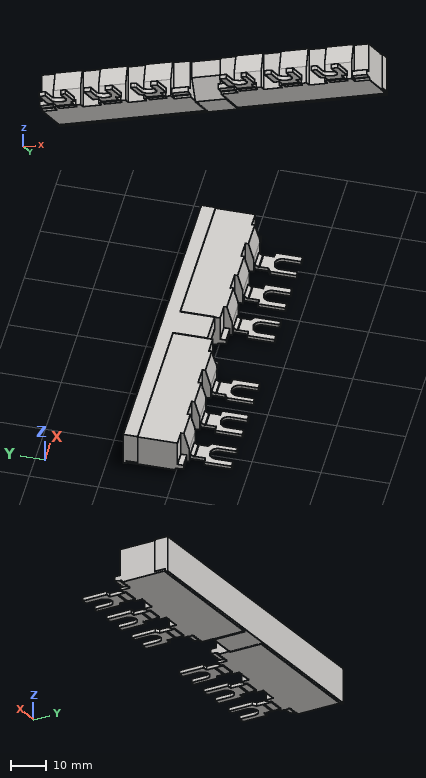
import cadquery as cq


length = 98.0
height = 11.0
bar_depth = 4.2
lip_depth = 0.85
lip_height = 0.9
bridge_depth = 14.2
bridge_bottom_depth = 11.0
bridge_break_height = 6.2

bridge_half_width = 4.55
end_inset = 0.1
cover_bottom = 0.28
cover_top = height - 0.2
cover_depth = 15.75
module_inner = bridge_half_width
module_outer = length / 2 - end_inset

terminal_pitch = 13.5
module_center = 27.0
boss_width = 8.1
boss_top_depth = 16.6
boss_depth = 18.1
boss_break_height = 5.2

flange_depth = 17.5
flange_top = 2.65
flange_front_bottom = 1.2
flange_root_bottom = 0.9
foot_depth = 15.3
foot_bottom_depth = 15.0

fork_top = 1.2
fork_end = 30.5
shoulder_depth = 22.5
neck_half_width = 2.55
arm_reach = 4.2
short_arm_reach = 3.75
shoulder_rise = 0.45
shoulder_drop = 0.3
tip_radius = 0.5
slot_radius = 2.2
slot_apex = 23.3
neck_root_top = 1.75
neck_start_depth = 17.2
groove_depth = 19.25
groove_end_depth = 19.5
groove_drop = 0.2
ridge_depth = 19.75
ridge_half_width = 0.2
ridge_drop = 0.23


def side_prism(profile, x_start, x_end):
    """Extrude a profile of (depth, height) points along X."""
    points = [(-depth, z) for depth, z in profile]
    prism = cq.Workplane("YZ").polyline(points).close().extrude(x_end - x_start)
    return prism.translate((x_start, 0, 0))


def make_housing():
    """Full-length rear bar with a thin bottom lip, joined to the central bridge."""
    bar_profile = [
        (0, 0),
        (lip_depth, 0),
        (lip_depth, lip_height),
        (bar_depth, lip_height),
        (bar_depth, height),
        (0, height),
    ]
    bridge_profile = [
        (0, 0),
        (bridge_bottom_depth, 0),
        (bridge_depth, bridge_break_height),
        (bridge_depth, height),
        (0, height),
    ]
    bar = side_prism(bar_profile, -length / 2, length / 2)
    return bar.union(side_prism(bridge_profile, -bridge_half_width, bridge_half_width))


def make_cover():
    """Cover body of the +X module, with its tongue reaching back under the bar."""
    profile = [
        (lip_depth, cover_bottom),
        (cover_depth, cover_bottom),
        (cover_depth, cover_top),
        (bar_depth, cover_top),
        (bar_depth, lip_height),
        (lip_depth, lip_height),
    ]
    return side_prism(profile, module_inner, module_outer)


def make_boss(x_center):
    """Boss with a sloped upper front face above each terminal."""
    profile = [
        (bar_depth, cover_bottom),
        (boss_depth, cover_bottom),
        (boss_depth, boss_break_height),
        (boss_top_depth, cover_top),
        (bar_depth, cover_top),
    ]
    return side_prism(profile, x_center - boss_width / 2, x_center + boss_width / 2)


def make_flange(x_start, x_end):
    """Foot flange standing out from the cover beside an outer boss."""
    profile = [
        (foot_bottom_depth, flange_root_bottom),
        (foot_depth, flange_root_bottom),
        (flange_depth, flange_front_bottom),
        (flange_depth, flange_top),
        (foot_bottom_depth, flange_top),
    ]
    return side_prism(profile, x_start, x_end)


def make_undercut(x_start, x_end):
    """Clearance below a foot flange, cut from the bottom front edge of the cover."""
    profile = [
        (foot_bottom_depth, cover_bottom),
        (foot_depth, flange_root_bottom),
        (flange_depth, flange_root_bottom),
        (flange_depth, cover_bottom),
    ]
    return side_prism(profile, x_start, x_end)


def make_neck():
    """Neck sloping from the boss down to the fork, with a bend groove above and a ridge below."""
    profile = [
        (neck_start_depth, 0),
        (ridge_depth - ridge_half_width, 0),
        (ridge_depth, -ridge_drop),
        (ridge_depth + ridge_half_width, 0),
        (shoulder_depth, 0),
        (shoulder_depth, fork_top),
        (groove_end_depth, fork_top),
        (groove_depth, fork_top - groove_drop),
        (boss_depth, neck_root_top),
        (neck_start_depth, neck_root_top),
    ]
    return side_prism(profile, -neck_half_width, neck_half_width)


def make_fork(short_right_arm):
    """Open fork plate; one arm may be narrower, with a sloped shoulder and a rounded tip."""
    slot_center = slot_apex + slot_radius
    fork = (
        cq.Workplane("XY")
        .moveTo(-arm_reach, -shoulder_depth)
        .lineTo(-arm_reach, -fork_end)
        .lineTo(-slot_radius, -fork_end)
        .lineTo(-slot_radius, -slot_center)
        .threePointArc((0, -slot_apex), (slot_radius, -slot_center))
    )
    if short_right_arm:
        fork = (
            fork.lineTo(slot_radius, -fork_end + tip_radius)
            .radiusArc((slot_radius + tip_radius, -fork_end), -tip_radius)
            .lineTo(short_arm_reach, -fork_end)
            .lineTo(short_arm_reach, -shoulder_depth - shoulder_drop)
            .lineTo(neck_half_width, -shoulder_depth + shoulder_rise)
            .lineTo(-neck_half_width, -shoulder_depth + shoulder_rise)
            .lineTo(-neck_half_width, -shoulder_depth)
        )
    else:
        fork = (
            fork.lineTo(slot_radius, -fork_end)
            .lineTo(arm_reach, -fork_end)
            .lineTo(arm_reach, -shoulder_depth)
        )
    return fork.close().extrude(fork_top)


def make_terminal(position):
    """Terminal at position -1, 0 or 1; outer ones have the short arm facing the middle one."""
    terminal = make_neck().union(make_fork(short_right_arm=position != 0))
    if position > 0:
        terminal = terminal.mirror("YZ")
    return terminal.translate((module_center + position * terminal_pitch, 0, 0))


def make_module():
    """Complete +X module."""
    outer_boss_edge = terminal_pitch + boss_width / 2
    flange_spans = [
        (module_inner, module_center - outer_boss_edge),
        (module_center + outer_boss_edge, module_outer),
    ]
    module = make_cover()
    for span in flange_spans:
        module = module.cut(make_undercut(*span)).union(make_flange(*span))
    for position in (-1, 0, 1):
        module = module.union(make_boss(module_center + position * terminal_pitch))
        module = module.union(make_terminal(position))
    return module


right_module = make_module()
left_module = right_module.mirror("YZ")
result = make_housing().union(right_module).union(left_module)